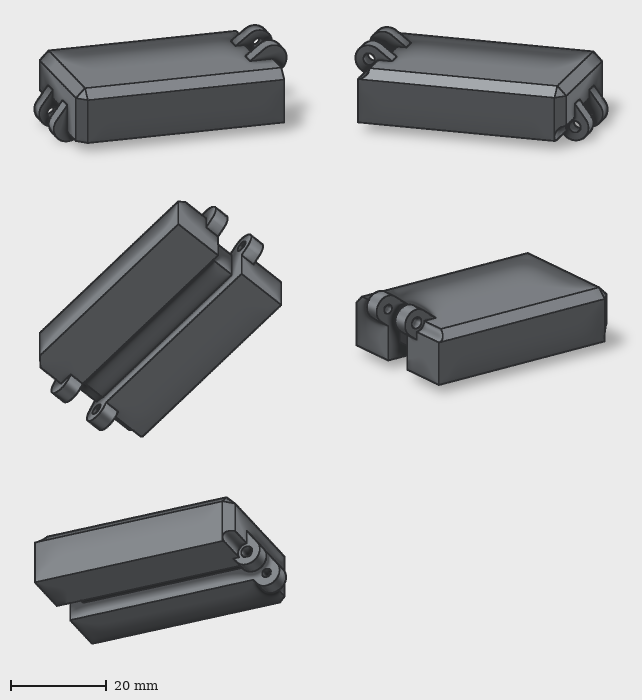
import cadquery as cq
import math

LENGTH = 45.0
WIDTH = 29.0
HEIGHT = 11.5
CHAMFER = 2.0

LUG_RADIUS = 3.0
LUG_INNER_X = 3.3
LUG_WIDTH = 3.35
LUG_OUTER_X = LUG_INNER_X + LUG_WIDTH
LUG_SLOPE = math.atan2(3, 4)
ARM_LENGTH = LUG_RADIUS / math.tan(LUG_SLOPE)
FRONT_AXIS = (-LENGTH / 2, 0.95)
BACK_AXIS = (LENGTH / 2, HEIGHT)

THROUGH_HOLE_DIAMETER = 2.5
BLIND_HOLE_DIAMETER = 2.0
BLIND_HOLE_DEPTH = 2.5
FRONT_GAP_RADIUS = 3.1
BACK_SLOT_DEPTH = LUG_RADIUS
CHANNEL_HEIGHT = 3.4
GROOVE_RADIUS = 2.0

FRONT_ARM_ANGLE = math.pi / 2 - LUG_SLOPE
BACK_ARM_ANGLE = math.pi + LUG_SLOPE


def rod(axis, radius, x_start, x_end):
    """Cylinder along X around a hinge axis."""
    plane = cq.Workplane("YZ", origin=(x_start, 0, 0))
    return plane.center(*axis).circle(radius).extrude(x_end - x_start)


def make_body():
    body = cq.Workplane("XY").box(WIDTH, LENGTH, HEIGHT, centered=(True, True, False))
    return body.edges("(>Z and (|Y or <Y)) or (|Z and <Y)").chamfer(CHAMFER)


def cut_between_lugs(body):
    """Round gap at the front, upright slot at the back and a channel below joining them."""
    gap_width = 2 * LUG_INNER_X
    channel = cq.Workplane("XY").box(gap_width, LENGTH, CHANNEL_HEIGHT, centered=(True, True, False))
    back_slot = (
        cq.Workplane("XY")
        .box(gap_width, 2 * BACK_SLOT_DEPTH, HEIGHT, centered=(True, True, False))
        .translate((0, LENGTH / 2, 0))
    )
    front_gap = rod(FRONT_AXIS, FRONT_GAP_RADIUS, -LUG_INNER_X, LUG_INNER_X)
    return body.cut(channel).cut(back_slot).cut(front_gap)


def make_lug(axis, arm_angle, x_start):
    """Rounded eye with a straight arm running into the body."""
    arm = (
        cq.Workplane("YZ", origin=(x_start, 0, 0))
        .rect(ARM_LENGTH, 2 * LUG_RADIUS)
        .extrude(LUG_WIDTH)
        .translate((0, ARM_LENGTH / 2, 0))
        .rotate((0, 0, 0), (1, 0, 0), math.degrees(arm_angle))
        .translate((0, *axis))
    )
    return rod(axis, LUG_RADIUS, x_start, x_start + LUG_WIDTH).union(arm)


result = cut_between_lugs(make_body())
for axis, arm_angle in ((FRONT_AXIS, FRONT_ARM_ANGLE), (BACK_AXIS, BACK_ARM_ANGLE)):
    result = result.cut(rod(axis, GROOVE_RADIUS, -WIDTH / 2, -LUG_OUTER_X))
    for x_start in (-LUG_OUTER_X, LUG_INNER_X):
        result = result.union(make_lug(axis, arm_angle, x_start))
    result = result.cut(rod(axis, THROUGH_HOLE_DIAMETER / 2, -LUG_OUTER_X, -LUG_INNER_X))
    result = result.cut(rod(axis, BLIND_HOLE_DIAMETER / 2, LUG_INNER_X, LUG_INNER_X + BLIND_HOLE_DEPTH))